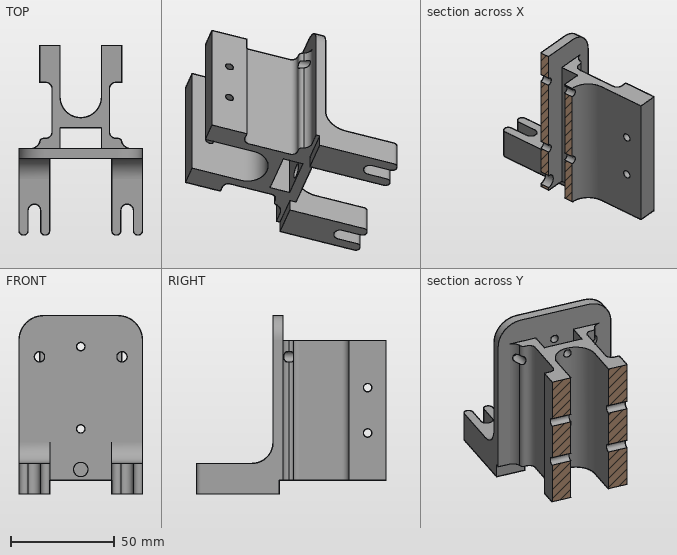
import cadquery as cq


plate_width = 60.0
plate_thickness = 5.0
plate_top = 86.7
plate_bottom = 6.7
plate_corner_radius = 12.1

foot_width = plate_width / 4
foot_height = 15.0
foot_front = -37.1
foot_back = 3.1
foot_fillet = 10.0
foot_slot_width = 6.0
foot_slot_length = 15.0
prong_radius = 2.2

bracket_back = 55.0
bracket_height = 67.95
arm_half_width = 20.0
arm_front = 37.0
neck_half_width = 14.0
neck_fillet = 3.0
flare_back = 2 * plate_thickness
flare_edge_radius = 2.0
flare_root_half_width = 23.7
flare_root_radius = 5.0
channel_width = 20.0
channel_bottom = 20.0
window_back = 15.0

small_hole_diameter = 4.0
side_hole_diameter = 5.0
large_hole_diameter = 7.0
upper_hole_z = 71.6
lower_hole_z = 31.7
side_hole_x = 20.0
side_hole_z = 66.7
large_hole_z = 12.0
clamp_hole_spacing = 22.0


def box(x_range, y_range, z_range):
    """Box between the given limits along each axis."""
    lows = (x_range[0], y_range[0], z_range[0])
    sizes = [high - low for low, high in (x_range, y_range, z_range)]
    return cq.Workplane("XY").box(*sizes, centered=False).translate(lows)


def hole_along_y(x, z, diameter, depth):
    """Cylinder that starts at the plate's front face and runs backwards."""
    axis = cq.Vector(0, 1, 0)
    return cq.Workplane(cq.Solid.makeCylinder(diameter / 2, depth, cq.Vector(x, 0, z), axis))


def make_plate():
    half_width = plate_width / 2
    plate = box((-half_width, half_width), (0, plate_thickness), (plate_bottom, plate_top))
    return plate.edges("|Y and >Z").fillet(plate_corner_radius)


def make_bracket_half():
    """Right half of the bracket, without the channel and the window."""
    edge_center_x = arm_half_width - flare_edge_radius
    edge_center_y = flare_back - flare_edge_radius
    return (
        cq.Workplane("XY", origin=(0, 0, plate_bottom))
        .moveTo(0, 0)
        .lineTo(flare_root_half_width, 0)
        .lineTo(flare_root_half_width, plate_thickness)
        .radiusArc((arm_half_width, edge_center_y), flare_root_radius)
        .radiusArc((edge_center_x, flare_back), -flare_edge_radius)
        .lineTo(neck_half_width + neck_fillet, flare_back)
        .radiusArc((neck_half_width, flare_back + neck_fillet), neck_fillet)
        .lineTo(neck_half_width, arm_front - neck_fillet)
        .radiusArc((neck_half_width + neck_fillet, arm_front), neck_fillet)
        .lineTo(arm_half_width, arm_front)
        .lineTo(arm_half_width, bracket_back)
        .lineTo(0, bracket_back)
        .close()
        .extrude(bracket_height)
    )


def make_bracket():
    half = make_bracket_half()
    bracket = half.union(half.mirror("YZ"))
    half_channel = channel_width / 2
    heights = (plate_bottom, plate_bottom + bracket_height)
    channel_center_y = channel_bottom + half_channel
    channel = box((-half_channel, half_channel), (channel_center_y, bracket_back), heights)
    channel_end = (
        cq.Workplane("XY", origin=(0, channel_center_y, plate_bottom))
        .circle(half_channel)
        .extrude(bracket_height)
    )
    window = box((-half_channel, half_channel), (plate_thickness, window_back), heights)
    clamp_holes = (
        cq.Workplane("YZ")
        .center((arm_front + bracket_back) / 2, plate_bottom + bracket_height / 2)
        .rarray(0.9, clamp_hole_spacing, 1, 2)
        .circle(small_hole_diameter / 2)
        .extrude(arm_half_width, both=True)
    )
    return bracket.cut(channel).cut(channel_end).cut(window).cut(clamp_holes)


def make_foot():
    """Right foot: a forked block that blends into the plate's front face."""
    outer_x = plate_width / 2
    inner_x = outer_x - foot_width
    center_x = outer_x - foot_width / 2
    foot = box((inner_x, outer_x), (foot_front, foot_back), (0, foot_height))
    slot_radius = foot_slot_width / 2
    slot_center_y = foot_front + foot_slot_length - slot_radius
    slot = box(
        (center_x - slot_radius, center_x + slot_radius), (foot_front, slot_center_y), (0, foot_height)
    )
    slot_end = (
        cq.Workplane("XY", origin=(center_x, slot_center_y, 0))
        .circle(slot_radius)
        .extrude(foot_height)
    )
    foot = foot.cut(slot).cut(slot_end).edges("|Z and <Y").fillet(prong_radius)
    blend = (
        cq.Workplane("YZ", origin=(inner_x, 0, 0))
        .moveTo(0, foot_height)
        .lineTo(-foot_fillet, foot_height)
        .radiusArc((0, foot_height + foot_fillet), -foot_fillet)
        .close()
        .extrude(foot_width)
    )
    return foot.union(blend)


foot = make_foot()
result = make_plate().union(make_bracket()).union(foot).union(foot.mirror("YZ"))

web_hole_depth = channel_bottom + small_hole_diameter
for hole_z in (upper_hole_z, lower_hole_z):
    result = result.cut(hole_along_y(0, hole_z, small_hole_diameter, web_hole_depth))
for side in (-1, 1):
    result = result.cut(hole_along_y(side * side_hole_x, side_hole_z, side_hole_diameter, flare_back))
result = result.cut(hole_along_y(0, large_hole_z, large_hole_diameter, plate_thickness))